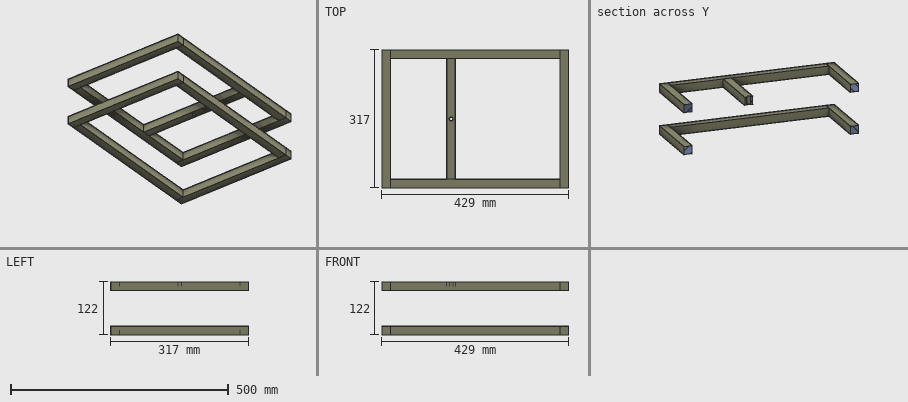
import cadquery as cq

FRAME_LENGTH = 429.0
FRAME_WIDTH = 317.0
STACK_HEIGHT = 122.0

BAR_SIZE = 20.0

CROSSBAR_CENTER_X = -55.5
HOLE_DIAMETER = 8.0

RAIL_LENGTH = FRAME_LENGTH - 2 * BAR_SIZE
CROSSBAR_LENGTH = FRAME_WIDTH - 2 * BAR_SIZE
SIDE_BAR_CENTER_X = (FRAME_LENGTH - BAR_SIZE) / 2
RAIL_CENTER_Y = (FRAME_WIDTH - BAR_SIZE) / 2
FRAME_CENTER_Z = (STACK_HEIGHT - BAR_SIZE) / 2


def make_side_bar(center_x, center_z):
    """End bar along Y, running the full frame width."""
    return cq.Workplane("XY").box(BAR_SIZE, FRAME_WIDTH, BAR_SIZE).translate((center_x, 0, center_z))


def make_rail(center_y, center_z):
    """Bar along X, butted between the two side bars."""
    return cq.Workplane("XY").box(RAIL_LENGTH, BAR_SIZE, BAR_SIZE).translate((0, center_y, center_z))


def make_crossbar(center_z):
    """Bar along Y between the rails, drilled through vertically at mid-length."""
    bar = cq.Workplane("XY").box(BAR_SIZE, CROSSBAR_LENGTH, BAR_SIZE)
    drilled_bar = bar.faces(">Z").workplane().hole(HOLE_DIAMETER)
    return drilled_bar.translate((CROSSBAR_CENTER_X, 0, center_z))


side_bars = []
rails = []
for frame_z in (-FRAME_CENTER_Z, FRAME_CENTER_Z):
    for side in (-1, 1):
        side_bars.append(make_side_bar(side * SIDE_BAR_CENTER_X, frame_z).val())
        rails.append(make_rail(side * RAIL_CENTER_Y, frame_z).val())

crossbar = make_crossbar(FRAME_CENTER_Z)

result = cq.Compound.makeCompound([*side_bars, *rails, crossbar.val()])